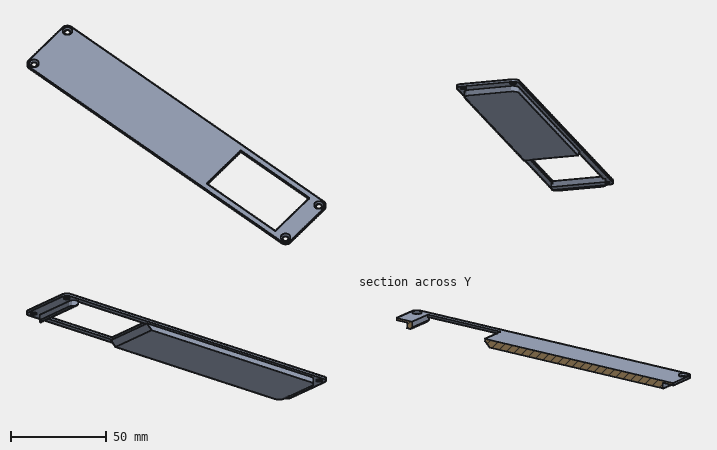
import cadquery as cq

length = 180
width = 34.0
height = 4.5
plate_thickness = 1.5
plate_corner_radius = 3.0

pad_end_inset = 6.7
pad_side_inset = 2.2
pad_corner_radius = 3.5
pad_depth = height - plate_thickness
pad_length = length - 2 * pad_end_inset
pad_width = width - 2 * pad_side_inset

window_start = 32.5
window_end = 79.7
window_width = 27.7
lip_chamfer = 1.3

hole_diameter = 3.0
countersink_diameter = 5.0
countersink_angle = 90
hole_inset = 3.5


def rounded_block(block_length, block_width, thickness, radius, bottom):
    return (
        cq.Workplane("XY", origin=(0, 0, bottom))
        .rect(block_length, block_width)
        .extrude(thickness)
        .edges("|Z")
        .fillet(radius)
    )


def pad_gap():
    """Gap in the pad: a 45 degree ramp at one end, a chamfered lip at the other."""
    profile = [
        (window_start, pad_depth),
        (window_start - pad_depth, 0),
        (window_end + lip_chamfer, 0),
        (window_end, lip_chamfer),
        (window_end, pad_depth),
    ]
    return cq.Workplane("XZ").polyline(profile).close().extrude(width / 2, both=True)


pad = rounded_block(pad_length, pad_width, pad_depth, pad_corner_radius, 0).cut(pad_gap())
plate = rounded_block(length, width, plate_thickness, plate_corner_radius, pad_depth)

window = (
    cq.Workplane("XY")
    .center((window_start + window_end) / 2, 0)
    .rect(window_end - window_start, window_width)
    .extrude(height)
)
body = plate.union(pad).cut(window)

result = (
    body.faces(">Z")
    .workplane(origin=(0, 0, height))
    .rect(length - 2 * hole_inset, width - 2 * hole_inset, forConstruction=True)
    .vertices()
    .cskHole(hole_diameter, countersink_diameter, countersink_angle)
)